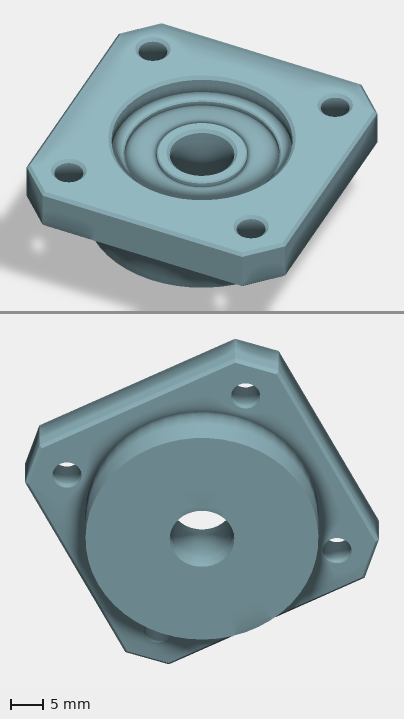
import cadquery as cq

side = 44.0
height = 15.0
flange_thickness = 7.0
corner_cut = 5.0
edge_chamfer = 0.5

boss_diameter = 36.0
boss_height = height - flange_thickness

hole_spacing = 31.0
hole_diameter = 4.5

seat_diameter = 28.0
seat_depth = 3.0
relief_outer_diameter = 24.0
relief_inner_diameter = 14.0
relief_depth = 1.0
relief_chamfer = 0.2
bore_diameter = 10.0

seat_floor = height - seat_depth
relief_floor = seat_floor - relief_depth


def disc(diameter, bottom, thickness):
    """Upright cylinder on the central axis."""
    return cq.Workplane("XY").workplane(offset=bottom).circle(diameter / 2).extrude(thickness)


def chamfered_hole(diameter, bottom, top, chamfer):
    """Cutter for a round hole whose mouth widens by the chamfer at the top."""
    radius = diameter / 2
    return (
        cq.Workplane("XZ")
        .moveTo(0, bottom)
        .lineTo(radius, bottom)
        .lineTo(radius, top - chamfer)
        .lineTo(radius + chamfer, top)
        .lineTo(0, top)
        .close()
        .revolve(360, (0, 0, 0), (0, 1, 0))
    )


flange = (
    cq.Workplane("XY")
    .workplane(offset=boss_height)
    .rect(side, side)
    .extrude(flange_thickness)
    .edges("|Z")
    .chamfer(corner_cut)
    .faces("<Z or >Z")
    .edges()
    .chamfer(edge_chamfer)
)
body = flange.union(disc(boss_diameter, 0, boss_height))

body = body.cut(chamfered_hole(seat_diameter, seat_floor, height, edge_chamfer))

hub = disc(relief_inner_diameter, relief_floor, relief_depth).faces(">Z").edges().chamfer(relief_chamfer)
relief = chamfered_hole(relief_outer_diameter, relief_floor, seat_floor, relief_chamfer).cut(hub)
body = body.cut(relief)

body = body.cut(chamfered_hole(bore_diameter, 0, seat_floor, edge_chamfer))

mounting_hole = chamfered_hole(hole_diameter, boss_height, height, edge_chamfer)
for x_sign in (-1, 1):
    for y_sign in (-1, 1):
        hole_position = (x_sign * hole_spacing / 2, y_sign * hole_spacing / 2, 0)
        body = body.cut(mounting_hole.translate(hole_position))

result = body